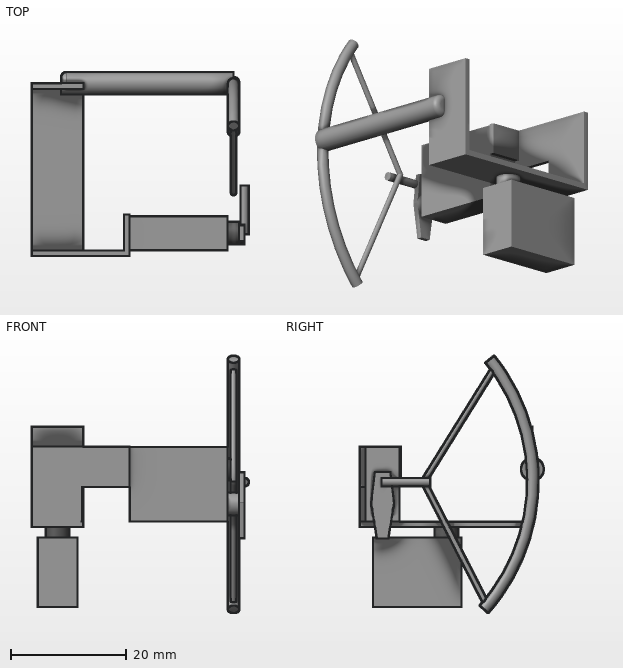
import cadquery as cq
import math

SHEET = 1.0

FLOOR_WIDTH = 9.0
LEG_WIDTH = 8.75
BRACKET_DEPTH = 30.0
FLOOR_BOTTOM = 14.95
FLOOR_TOP = FLOOR_BOTTOM + SHEET
BACK_PLATE_TOP = 32.45
ARM_TOP = 29.0
ARM_HEIGHT = 7.05
ARM_LENGTH = 17.0
FLANGE_DEPTH = 7.2
FLANGE_HEIGHT = 5.37

TUBE_DIAMETER = 4.0
TUBE_START = 5.1
TUBE_FILLET = 1.0
TUBE_Z = 25.05

BOW_DIAMETER = 2.0
BOW_X = 35.05
BOW_RADIUS = 33.5
BOW_CENTER_Y = -3.4
BOW_CENTER_Z = 23.0
BOW_TOP_ANGLE = 39.1
BOW_BOTTOM_ANGLE = -41.8

STRING_DIAMETER = 1.0
STRING_TOP_INSET_ANGLE = 2.7
STRING_BOTTOM_INSET_ANGLE = 1.5
STRING_VERTEX_Y = 11.1
STRING_VERTEX_Z = 22.9

LOWER_X = 1.05
LOWER_Y = 2.3
LOWER_Z = 1.07
LOWER_SIZE = (6.95, 15.45, 12.15)
LOWER_SHAFT_DIAMETER = 4.15
LOWER_SHAFT_Y = 15.05

UPPER_SIZE = (17.0, 5.95, 13.0)
UPPER_SHAFT_DIAMETER = 4.0
UPPER_SHAFT_LENGTH = 1.95
UPPER_SHAFT_Y = 4.0
UPPER_SHAFT_Z = 19.0

HORN_THICKNESS = 1.0
HORN_MIDDLE_WIDTH = 4.0
HORN_TOP_WIDTH = 2.7
HORN_BOTTOM_WIDTH = 2.05
HORN_MIDDLE_Z = 19.2
HORN_TOP_Z = 24.55
HORN_BOTTOM_Z = 13.05
PIN_DIAMETER = 1.5
PIN_START_Y = 3.75
PIN_END_Y = 12.27
PIN_Z = 22.8

UPPER_END_X = ARM_LENGTH + UPPER_SIZE[0]
HORN_X = UPPER_END_X + UPPER_SHAFT_LENGTH
PIN_X = HORN_X + HORN_THICKNESS


def block(corner, size):
    """Box placed by its lowest corner."""
    return cq.Workplane("XY").box(*size, centered=False).translate(corner)


def rod(start, end, diameter):
    """Round bar between two points."""
    first = cq.Vector(*start)
    axis = cq.Vector(*end) - first
    return cq.Workplane(cq.Solid.makeCylinder(diameter / 2, axis.Length, first, axis))


def bow_point(angle):
    """Point of the bow's centre line, the angle measured from +Y towards +Z."""
    turn = math.radians(angle)
    return (
        BOW_X,
        BOW_CENTER_Y + BOW_RADIUS * math.cos(turn),
        BOW_CENTER_Z + BOW_RADIUS * math.sin(turn),
    )


def make_bracket():
    wall_height = ARM_TOP - FLOOR_BOTTOM
    arm_bottom = ARM_TOP - ARM_HEIGHT
    floor = block((0, 0, FLOOR_BOTTOM), (FLOOR_WIDTH, BRACKET_DEPTH, SHEET))
    back_plate = block(
        (0, BRACKET_DEPTH - SHEET, FLOOR_BOTTOM),
        (FLOOR_WIDTH, SHEET, BACK_PLATE_TOP - FLOOR_BOTTOM),
    )
    leg = block((0, 0, FLOOR_BOTTOM), (LEG_WIDTH, SHEET, wall_height))
    arm = block((0, 0, arm_bottom), (ARM_LENGTH, SHEET, ARM_HEIGHT))
    flange = block(
        (ARM_LENGTH - SHEET, 0, ARM_TOP - FLANGE_HEIGHT),
        (SHEET, FLANGE_DEPTH, FLANGE_HEIGHT),
    )
    return floor.union(back_plate).union(leg).union(arm).union(flange)


def make_tube():
    """Bow tube whose free end is rounded only outside the back plate."""
    start = (TUBE_START, BRACKET_DEPTH, TUBE_Z)
    end = (BOW_X, BRACKET_DEPTH, TUBE_Z)
    square_end = rod(start, end, TUBE_DIAMETER)
    round_end = square_end.faces("<X").edges().fillet(TUBE_FILLET)
    outside = block(
        (TUBE_START, BRACKET_DEPTH, TUBE_Z - TUBE_DIAMETER),
        (BOW_X - TUBE_START, TUBE_DIAMETER, 2 * TUBE_DIAMETER),
    )
    return square_end.cut(outside).union(round_end.intersect(outside))


def make_bow():
    """Arc bar, revolved about an axis parallel to X."""
    sweep_angle = BOW_TOP_ANGLE - BOW_BOTTOM_ANGLE
    bar = (
        cq.Workplane("XY")
        .center(BOW_X, BOW_RADIUS)
        .circle(BOW_DIAMETER / 2)
        .revolve(sweep_angle, (0, -BOW_RADIUS), (1, -BOW_RADIUS))
    )
    return bar.rotate((0, 0, 0), (1, 0, 0), BOW_BOTTOM_ANGLE).translate((0, BOW_CENTER_Y, BOW_CENTER_Z))


def make_string():
    """Two strands mitred on the level plane through their meeting point."""
    vertex = cq.Vector(BOW_X, STRING_VERTEX_Y, STRING_VERTEX_Z)
    strands = []
    for angle, side in (
        (BOW_TOP_ANGLE - STRING_TOP_INSET_ANGLE, 1),
        (BOW_BOTTOM_ANGLE + STRING_BOTTOM_INSET_ANGLE, -1),
    ):
        anchor = cq.Vector(*bow_point(angle))
        overrun = vertex + (vertex - anchor).normalized() * STRING_DIAMETER
        strand = rod(anchor.toTuple(), overrun.toTuple(), STRING_DIAMETER)
        half_space = cq.Workplane("XY").box(*[4 * BOW_RADIUS] * 3)
        beyond = half_space.translate((0, 0, STRING_VERTEX_Z - side * 2 * BOW_RADIUS))
        strands.append(strand.cut(beyond))
    return strands[0].union(strands[1])


def make_frame():
    """Bracket that carries the tube, the bow and its string."""
    return make_bracket().union(make_tube()).union(make_bow()).union(make_string())


def make_lower_servo():
    shaft_x = LOWER_X + LOWER_SIZE[0] / 2
    housing = block((LOWER_X, LOWER_Y, LOWER_Z), LOWER_SIZE)
    shaft = rod(
        (shaft_x, LOWER_SHAFT_Y, LOWER_Z + LOWER_SIZE[2]),
        (shaft_x, LOWER_SHAFT_Y, FLOOR_BOTTOM),
        LOWER_SHAFT_DIAMETER,
    )
    return housing.union(shaft)


def make_upper_servo():
    housing = block((ARM_LENGTH, SHEET, FLOOR_TOP), UPPER_SIZE)
    shaft = rod(
        (UPPER_END_X, UPPER_SHAFT_Y, UPPER_SHAFT_Z),
        (HORN_X, UPPER_SHAFT_Y, UPPER_SHAFT_Z),
        UPPER_SHAFT_DIAMETER,
    )
    return housing.union(shaft)


def make_horn():
    """Tapered plate on the upper shaft, with a pin along Y set into its outer face."""
    sections = (
        (HORN_BOTTOM_WIDTH, HORN_BOTTOM_Z),
        (HORN_MIDDLE_WIDTH, HORN_MIDDLE_Z),
        (HORN_TOP_WIDTH, HORN_TOP_Z),
    )
    front_side = [(UPPER_SHAFT_Y - width / 2, z) for width, z in sections]
    back_side = [(UPPER_SHAFT_Y + width / 2, z) for width, z in reversed(sections)]
    plate = (
        cq.Workplane("YZ", origin=(HORN_X, 0, 0))
        .polyline(front_side + back_side)
        .close()
        .extrude(HORN_THICKNESS)
    )
    pin = rod((PIN_X, PIN_START_Y, PIN_Z), (PIN_X, PIN_END_Y, PIN_Z), PIN_DIAMETER)
    return plate.union(pin)


frame = make_frame()
lower_servo = make_lower_servo()
upper_servo = make_upper_servo()
horn = make_horn()

result = cq.Compound.makeCompound([frame.val(), lower_servo.val(), upper_servo.val(), horn.val()])